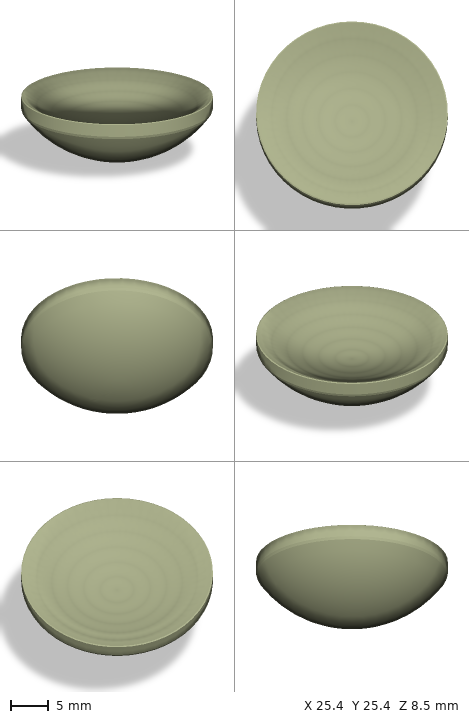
import cadquery as cq

radius = 12.7
height = 8.5
convex_sag = 6.45
bevel_height = 0.35
bevel_width = 0.13
top_bevel_height = 0.08
top_bevel_width = 0.15
concave_depth = 3.75


def sphere_radius(sag, half_width):
    """Radius of the sphere whose cap has this depth and half width."""
    return (half_width**2 + sag**2) / (2 * sag)


def point_on_cap(sag, half_width, r):
    """Height above the cap's apex at distance r from the axis."""
    sphere = sphere_radius(sag, half_width)
    return sphere - (sphere**2 - r**2) ** 0.5


convex_edge = radius - bevel_width
concave_edge = radius - top_bevel_width
concave_apex = height - concave_depth
convex_mid = (convex_edge / 2, point_on_cap(convex_sag, convex_edge, convex_edge / 2))
concave_mid = (
    concave_edge / 2,
    concave_apex + point_on_cap(concave_depth, concave_edge, concave_edge / 2),
)

profile = (
    cq.Workplane("XZ")
    .moveTo(0, 0)
    .threePointArc(convex_mid, (convex_edge, convex_sag))
    .lineTo(radius, convex_sag + bevel_height)
    .lineTo(radius, height - top_bevel_height)
    .lineTo(concave_edge, height)
    .threePointArc(concave_mid, (0, concave_apex))
    .close()
)

result = profile.revolve(360, (0, 0), (0, 1))